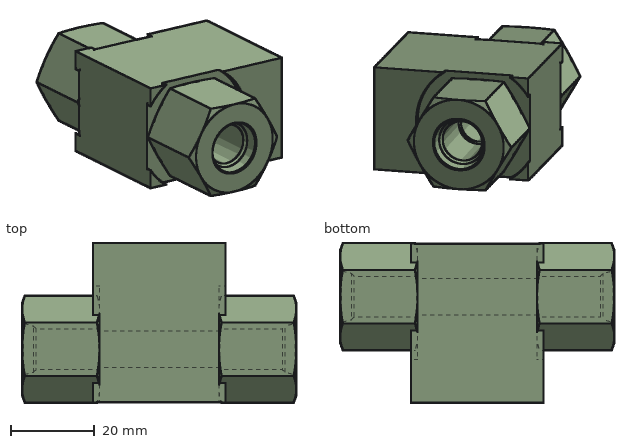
import cadquery as cq
import math

BLOCK_LENGTH = 31.75
BLOCK_DEPTH = 38.1
BLOCK_HEIGHT = 25.4
AXIS_FROM_FRONT = BLOCK_HEIGHT / 2
PASSAGE_DIAMETER = 8.74

SPOT_FACE_DIAMETER = 30.16
SPOT_FACE_DEPTH = 1.5875

OVERALL_LENGTH = 65.53
HEX_ACROSS_FLATS = 22.225
HEX_ACROSS_CORNERS = HEX_ACROSS_FLATS / math.cos(math.radians(30))
HEX_CHAMFER_ANGLE = 20
BORE_DIAMETER = 9.73

MOUTH_DIAMETER = 12.8
MOUTH_CHAMFER = 0.25
SOCKET_DEPTH = 2.65
SOCKET_HALF_ANGLE = 14
LEAD_IN_HALF_ANGLE = 45
DRILL_POINT_HALF_ANGLE = 59

SEAT_X = BLOCK_LENGTH / 2 - SPOT_FACE_DEPTH
FACE_X = OVERALL_LENGTH / 2
FITTING_LENGTH = FACE_X - SEAT_X


def make_block():
    """Block with a spot face at each end and a passage along X."""
    block = cq.Workplane("XY").box(BLOCK_LENGTH, BLOCK_DEPTH, BLOCK_HEIGHT)
    block = block.translate((0, BLOCK_DEPTH / 2 - AXIS_FROM_FRONT, 0))
    for side in (-1, 1):
        spot_face = (
            cq.Workplane("YZ", origin=(side * SEAT_X, 0, 0))
            .circle(SPOT_FACE_DIAMETER / 2)
            .extrude(side * SPOT_FACE_DEPTH)
        )
        block = block.cut(spot_face)
    passage = (
        cq.Workplane("YZ", origin=(-BLOCK_LENGTH / 2, 0, 0))
        .circle(PASSAGE_DIAMETER / 2)
        .extrude(BLOCK_LENGTH)
    )
    return block.cut(passage)


def revolve_about_x(points):
    """Solid of revolution about X from (x, radius) points."""
    return cq.Workplane("XY").polyline(points).close().revolve(360, (0, 0, 0), (1, 0, 0))


def make_bore():
    """Tapered socket, lead-in cone, bore and drill point, cut from the outer face."""
    mouth_radius = MOUTH_DIAMETER / 2
    taper_large = mouth_radius - MOUTH_CHAMFER
    taper_length = SOCKET_DEPTH - MOUTH_CHAMFER
    taper_small = taper_large - taper_length * math.tan(math.radians(SOCKET_HALF_ANGLE))
    bore_radius = BORE_DIAMETER / 2
    lead_in_length = (taper_small - bore_radius) / math.tan(math.radians(LEAD_IN_HALF_ANGLE))
    passage_radius = PASSAGE_DIAMETER / 2
    drill_point_length = (bore_radius - passage_radius) / math.tan(math.radians(DRILL_POINT_HALF_ANGLE))
    return revolve_about_x([
        (SEAT_X, 0),
        (SEAT_X, passage_radius),
        (SEAT_X + drill_point_length, bore_radius),
        (FACE_X - SOCKET_DEPTH - lead_in_length, bore_radius),
        (FACE_X - SOCKET_DEPTH, taper_small),
        (FACE_X - MOUTH_CHAMFER, taper_large),
        (FACE_X, mouth_radius),
        (FACE_X, 0),
    ])


def make_fitting():
    """Hexagonal fitting on the +X side, with corners on the Y axis."""
    flat_radius = HEX_ACROSS_FLATS / 2
    corner_radius = HEX_ACROSS_CORNERS / 2
    chamfer_length = (corner_radius - flat_radius) * math.tan(math.radians(HEX_CHAMFER_ANGLE))
    hexagon = (
        cq.Workplane("YZ", origin=(SEAT_X, 0, 0))
        .polygon(6, HEX_ACROSS_CORNERS)
        .extrude(FITTING_LENGTH)
    )
    chamfered_envelope = revolve_about_x([
        (SEAT_X, 0),
        (SEAT_X, flat_radius),
        (SEAT_X + chamfer_length, corner_radius),
        (FACE_X - chamfer_length, corner_radius),
        (FACE_X, flat_radius),
        (FACE_X, 0),
    ])
    return hexagon.intersect(chamfered_envelope).cut(make_bore())


block = make_block()

HALF_TURN = 180
fittings = []
for turn in (0, HALF_TURN):
    fitting = make_fitting().rotate((0, 0, 0), (0, 0, 1), turn)
    fittings.append(fitting.val())

result = cq.Compound.makeCompound([block.val(), *fittings])